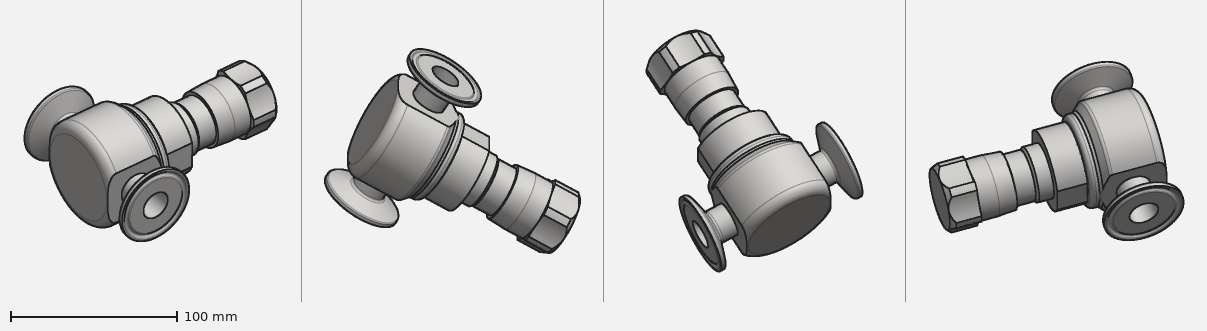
import cadquery as cq
import math


overall_length = 138.3

body_radius = 69.8 / 2
body_half_length = 21.3
body_edge_fillet = 6.5
flat_distance = 29.3
collar_radius = flat_distance
collar_end = 26.5
collar_fillet = 3.0
shoulder_angle = math.radians(45)
shoulder_fillet = 2.9

port_end = 98.3 / 2
tube_radius = 21.5 / 2
bore_radius = 9.1
ferrule_radius = 50.5 / 2
rim_width = 2.4
rim_end = port_end - rim_width
rim_fillet = 1.0
cone_angle = math.radians(20)
cone_root_fillet = 1.8
groove_radius_centre = 21.7
groove_half_width = 2.2
groove_radius = 1.7
groove_lip_fillet = 1.0

nut_start = 27.1
spigot_radius = 22.8
nut_radius = 50.7 / 2
nut_flat_distance = 23.6
nut_end = 46.3

sleeve_radius = 17.4
sleeve_end = 57.4
neck_radius = 16.2
sleeve_chamfer = 1.7
neck_end = 70.0
grip_small_radius = 36.6 / 2
grip_radius = 38.3 / 2
grip_taper_end = 81.6
grip_end = 93.7

knob_radius = 22.3
knob_end = overall_length - ferrule_radius
knob_chamfer = 3.0
lobe_count = 6
lobe_half_width = 2.8
scallop_distance = 19.4


def disc(radius, start, end):
    """Cylinder on the stem axis between two Y positions."""
    return cq.Workplane("XZ", origin=(0, start, 0)).circle(radius).extrude(start - end)


def slab(half_width):
    """Space between two flats facing X, longer and taller than the whole valve."""
    return cq.Workplane("XY").box(2 * half_width, 2 * overall_length, 2 * overall_length)


def make_body():
    """Drum and collar turned about Y, with the drum trimmed to two flats."""
    arc_run = shoulder_fillet * math.sin(shoulder_angle)
    arc_drop = shoulder_fillet * (1 - math.cos(shoulder_angle))
    slope_top_radius = body_radius - arc_drop
    slope_bottom_radius = collar_radius + arc_drop
    slope_end = body_half_length - arc_run
    slope_start = slope_end - (slope_top_radius - slope_bottom_radius) / math.tan(shoulder_angle)
    body = (
        cq.Workplane("XY")
        .moveTo(0, -body_half_length)
        .lineTo(body_radius - body_edge_fillet, -body_half_length)
        .tangentArcPoint((body_radius, body_edge_fillet - body_half_length), relative=False)
        .lineTo(body_radius, slope_start - arc_run)
        .tangentArcPoint((slope_top_radius, slope_start), relative=False)
        .lineTo(slope_bottom_radius, slope_end)
        .tangentArcPoint((collar_radius, body_half_length), relative=False)
        .lineTo(collar_radius, collar_end - collar_fillet)
        .tangentArcPoint((collar_radius - collar_fillet, collar_end), relative=False)
        .lineTo(0, collar_end)
        .close()
        .revolve(360, (0, 0, 0), (0, 1, 0))
    )
    return body.intersect(slab(flat_distance))


def make_port():
    """Tube and ferrule turned about X, with a gasket groove in the end face."""
    root_radius = tube_radius + cone_root_fillet * (1 - math.sin(cone_angle))
    cone_end = rim_end - rim_fillet * math.cos(cone_angle)
    cone_end_radius = ferrule_radius - rim_fillet * (1 - math.sin(cone_angle))
    root_end = cone_end - (cone_end_radius - root_radius) * math.tan(cone_angle)
    tube_end = root_end - cone_root_fillet * math.cos(cone_angle)

    groove_angle = math.asin(groove_half_width / (groove_radius + groove_lip_fillet))
    lip_depth = groove_lip_fillet * (1 - math.cos(groove_angle))
    groove_depth = (groove_radius + groove_lip_fillet) * (1 - math.cos(groove_angle))
    arc_half_width = groove_radius * math.sin(groove_angle)
    return (
        cq.Workplane("XY")
        .moveTo(0, 0)
        .lineTo(0, tube_radius)
        .lineTo(tube_end, tube_radius)
        .tangentArcPoint((root_end, root_radius), relative=False)
        .lineTo(cone_end, cone_end_radius)
        .tangentArcPoint((rim_end, ferrule_radius), relative=False)
        .lineTo(port_end, ferrule_radius)
        .lineTo(port_end, groove_radius_centre + groove_half_width)
        .tangentArcPoint((port_end - lip_depth, groove_radius_centre + arc_half_width), relative=False)
        .threePointArc(
            (port_end - groove_depth, groove_radius_centre),
            (port_end - lip_depth, groove_radius_centre - arc_half_width),
        )
        .tangentArcPoint((port_end, groove_radius_centre - groove_half_width), relative=False)
        .lineTo(port_end, 0)
        .close()
        .revolve(360, (0, 0, 0), (1, 0, 0))
    )


def make_bore():
    """Blind bore from a port's end face down to the body flat."""
    bore_depth = port_end - flat_distance
    return cq.Workplane("YZ", origin=(flat_distance, 0, 0)).circle(bore_radius).extrude(bore_depth)


def make_nut():
    """Bonnet nut with its two flats facing X, on a narrower spigot."""
    nut = disc(nut_radius, nut_start, nut_end)
    return nut.intersect(slab(nut_flat_distance)).union(disc(spigot_radius, 0, nut_start))


def make_stem():
    """Sleeve, neck and tapered grip turned about Y."""
    return (
        cq.Workplane("XY")
        .moveTo(0, 0)
        .lineTo(sleeve_radius, 0)
        .lineTo(sleeve_radius, sleeve_end - sleeve_chamfer)
        .lineTo(sleeve_radius - sleeve_chamfer, sleeve_end)
        .lineTo(neck_radius, sleeve_end)
        .lineTo(neck_radius, neck_end)
        .lineTo(grip_small_radius, neck_end)
        .lineTo(grip_radius, grip_taper_end)
        .lineTo(grip_radius, grip_end)
        .lineTo(0, grip_end)
        .close()
        .revolve(360, (0, 0, 0), (0, 1, 0))
    )


def make_knob():
    """Chamfered disc whose rim is hollowed by scallops, leaving narrow lobes between them."""
    knob = disc(knob_radius, grip_end, knob_end).faces(">Y").chamfer(knob_chamfer)

    lobe_spacing = 2 * math.pi / lobe_count
    corner_angle = lobe_spacing / 2 - math.asin(lobe_half_width / knob_radius)
    half_chord = knob_radius * math.sin(corner_angle)
    scallop_depth = knob_radius * math.cos(corner_angle) - scallop_distance
    scallop_radius = (half_chord**2 + scallop_depth**2) / (2 * scallop_depth)
    for index in range(lobe_count):
        angle = (index + 0.5) * lobe_spacing
        distance = scallop_distance + scallop_radius
        centre = (distance * math.cos(angle), grip_end, distance * math.sin(angle))
        scallop = cq.Workplane("XZ", origin=centre).circle(scallop_radius).extrude(grip_end - knob_end)
        knob = knob.cut(scallop)
    return knob


port = make_port()
bore = make_bore()
result = make_body().union(make_nut()).union(make_stem()).union(make_knob())
for turn in (0, 180):
    result = result.union(port.rotate((0, 0, 0), (0, 1, 0), turn))
    result = result.cut(bore.rotate((0, 0, 0), (0, 1, 0), turn))